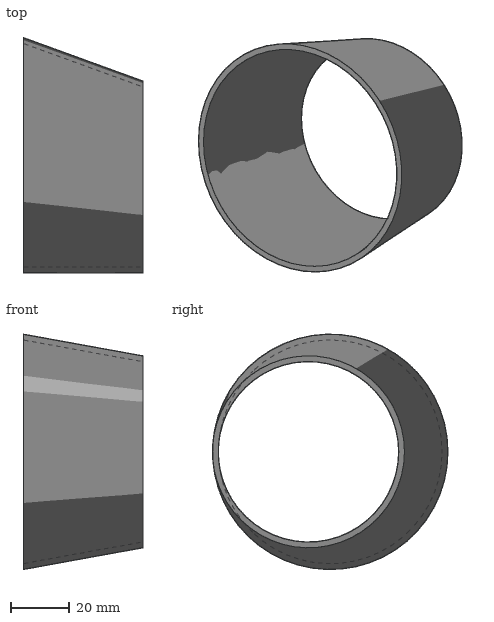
import cadquery as cq

length = 41.2
large_diameter = 81.0
small_diameter = 66.0
wall = 2.0

eccentricity = (large_diameter - small_diameter) / 2


def eccentric_cone(start_diameter, end_diameter):
    """Solid loft from the large end at X = 0 to the offset small end."""
    return (
        cq.Workplane("YZ")
        .circle(start_diameter / 2)
        .workplane(offset=length)
        .center(-eccentricity, 0)
        .circle(end_diameter / 2)
        .loft(ruled=True)
    )


outer_body = eccentric_cone(large_diameter, small_diameter)
bore = eccentric_cone(large_diameter - 2 * wall, small_diameter - 2 * wall)

result = outer_body.cut(bore)